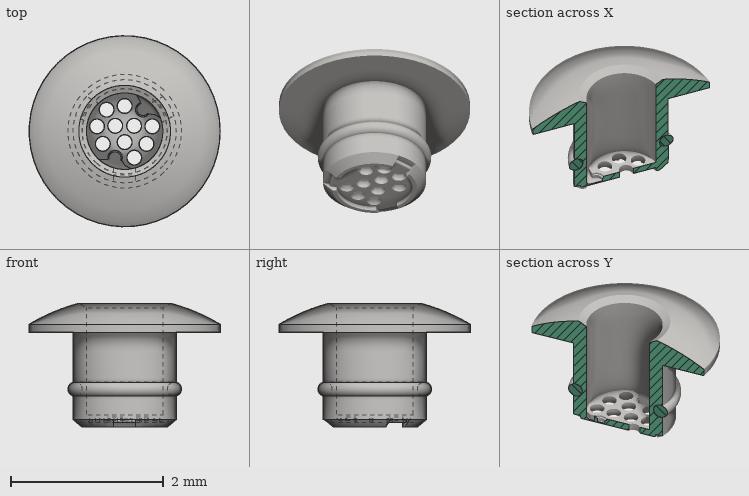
import cadquery as cq
import math

TOTAL_HEIGHT = 1.62
FLANGE_RADIUS = 1.25
FLANGE_BOTTOM = 1.24
FLANGE_RIM_THICKNESS = 0.105
DOME_BULGE = 0.025
SHAFT_RADIUS = 0.675
BORE_RADIUS = 0.5
MOUTH_RADIUS = 0.6
MOUTH_DEPTH = 0.06
TIP_RADIUS = 0.555
TIP_HEIGHT = 0.1

RING_SECTION_RADIUS = 0.092
RING_OUTER_RADIUS = 0.742
RING_HEIGHT = 0.498

PLATE_BOTTOM = 0.06
PLATE_THICKNESS = 0.1
HOLE_RADIUS = 0.095
INNER_HOLE_CIRCLE = 0.142
MIDDLE_HOLE_CIRCLE = 0.33
OUTER_HOLE_CIRCLE = 0.368
SECTOR_ANGLE = 120
FIRST_SLOT_ANGLE = 30
OUTER_HOLE_OFFSET = 20

SLOT_WIDTH = 0.29
SLOT_STEP_RADIUS = 0.575
SLOT_STEP_ROUND = 0.025

LEDGE_DEPTH = 0.025
POCKET_DEPTH = 0.075
POCKET_NOSE_RADIUS = 0.08
POCKET_NOSE_CIRCLE = 0.372
POCKET_ROUND = 0.052
POCKET_THROAT_CIRCLE = 0.385
NARROW_SIDE_ANGLES = (14, 22)
WIDE_SIDE_ANGLES = (14.5, 20.5, 30)

plate_top = PLATE_BOTTOM + PLATE_THICKNESS
rim_top = FLANGE_BOTTOM + FLANGE_RIM_THICKNESS
slot_angles = [FIRST_SLOT_ANGLE + SECTOR_ANGLE * sector for sector in range(3)]
pocket_positions = [(slot_angles[0], 1), (slot_angles[2], -1)]
pocket_floor_radius = BORE_RADIUS - POCKET_ROUND
pocket_floor = plate_top - POCKET_DEPTH


def polar(radius, degrees):
    """Point in the XY plane at a radius and an angle from +X."""
    angle = math.radians(degrees)
    return (radius * math.cos(angle), radius * math.sin(angle))


def make_shell():
    """Shaft, domed flange and bottom plate as one turned profile."""
    chord_r = FLANGE_RADIUS - MOUTH_RADIUS
    chord_z = TOTAL_HEIGHT - rim_top
    chord = math.hypot(chord_r, chord_z)
    dome_middle = (
        (FLANGE_RADIUS + MOUTH_RADIUS) / 2 + DOME_BULGE * chord_z / chord,
        (rim_top + TOTAL_HEIGHT) / 2 + DOME_BULGE * chord_r / chord,
    )
    return (
        cq.Workplane("XZ")
        .moveTo(0, PLATE_BOTTOM)
        .lineTo(BORE_RADIUS, PLATE_BOTTOM)
        .lineTo(BORE_RADIUS, 0)
        .lineTo(TIP_RADIUS, 0)
        .lineTo(SHAFT_RADIUS, TIP_HEIGHT)
        .lineTo(SHAFT_RADIUS, FLANGE_BOTTOM)
        .lineTo(FLANGE_RADIUS, FLANGE_BOTTOM)
        .lineTo(FLANGE_RADIUS, rim_top)
        .threePointArc(dome_middle, (MOUTH_RADIUS, TOTAL_HEIGHT))
        .lineTo(BORE_RADIUS, TOTAL_HEIGHT - MOUTH_DEPTH)
        .lineTo(BORE_RADIUS, plate_top)
        .lineTo(0, plate_top)
        .close()
        .revolve(360, (0, 0, 0), (0, 1, 0))
    )


def make_slot(angle):
    """Cutter for a tip slot that steps up beyond a rounded shoulder."""
    round_start = SLOT_STEP_RADIUS - SLOT_STEP_ROUND
    return (
        cq.Workplane("XZ", origin=(0, SLOT_WIDTH / 2, 0))
        .lineTo(SHAFT_RADIUS, 0)
        .lineTo(SHAFT_RADIUS, TIP_HEIGHT)
        .lineTo(SLOT_STEP_RADIUS, TIP_HEIGHT)
        .lineTo(SLOT_STEP_RADIUS, PLATE_BOTTOM + SLOT_STEP_ROUND)
        .radiusArc((round_start, PLATE_BOTTOM), SLOT_STEP_ROUND)
        .lineTo(0, PLATE_BOTTOM)
        .close()
        .extrude(SLOT_WIDTH)
        .rotate((0, 0, 0), (0, 0, 1), angle)
    )


def make_plate_holes():
    """Cutter for the through holes of the plate."""
    centers = []
    for angle in slot_angles:
        centers.append(polar(INNER_HOLE_CIRCLE, angle))
        centers.append(polar(MIDDLE_HOLE_CIRCLE, angle + SECTOR_ANGLE / 2))
        for side in (-1, 1):
            if (angle, side) not in pocket_positions:
                centers.append(polar(OUTER_HOLE_CIRCLE, angle + side * OUTER_HOLE_OFFSET))
    return cq.Workplane("XY").pushPoints(centers).circle(HOLE_RADIUS).extrude(plate_top)


def make_pocket(angle, side):
    """Cutter for a blind pocket: a shallow round ledge and a deep bay that widens to the bore wall."""
    ledge = (
        cq.Workplane("XY", origin=(0, 0, plate_top - LEDGE_DEPTH))
        .center(*polar(OUTER_HOLE_CIRCLE, angle))
        .circle(HOLE_RADIUS)
        .extrude(LEDGE_DEPTH)
    )
    narrow_floor, narrow_wall = NARROW_SIDE_ANGLES
    wide_throat, wide_floor, wide_wall = WIDE_SIDE_ANGLES
    middle = (narrow_wall - wide_wall) / 2
    bay_plane = cq.Workplane("XY", origin=(0, 0, pocket_floor))
    bay = (
        bay_plane.moveTo(*polar(POCKET_NOSE_CIRCLE, angle))
        .lineTo(*polar(pocket_floor_radius, angle + side * narrow_floor))
        .lineTo(*polar(BORE_RADIUS, angle + side * narrow_wall))
        .threePointArc(
            polar(BORE_RADIUS, angle + side * middle),
            polar(BORE_RADIUS, angle - side * wide_wall),
        )
        .lineTo(*polar(pocket_floor_radius, angle - side * wide_floor))
        .lineTo(*polar(POCKET_THROAT_CIRCLE, angle - side * wide_throat))
        .close()
        .extrude(POCKET_DEPTH)
    )
    nose = bay_plane.center(*polar(POCKET_NOSE_CIRCLE, angle)).circle(POCKET_NOSE_RADIUS).extrude(POCKET_DEPTH)
    bowl = bay_plane.circle(BORE_RADIUS).extrude(POCKET_DEPTH).faces("<Z").edges().fillet(POCKET_ROUND)
    return bay.union(nose).intersect(bowl).union(ledge)


def make_ring():
    """Round-section sealing ring around the shaft."""
    return cq.Workplane(
        cq.Solid.makeTorus(
            RING_OUTER_RADIUS - RING_SECTION_RADIUS,
            RING_SECTION_RADIUS,
            cq.Vector(0, 0, RING_HEIGHT),
            cq.Vector(0, 0, 1),
        )
    )


def make_housing():
    """Shell with the ring groove, tip slots, plate holes and pockets cut into it."""
    body = make_shell().cut(make_ring()).cut(make_plate_holes())
    for angle in slot_angles:
        body = body.cut(make_slot(angle))
    for angle, side in pocket_positions:
        body = body.cut(make_pocket(angle + side * OUTER_HOLE_OFFSET, side))
    return body


housing = make_housing()
ring = make_ring()
result = cq.Compound.makeCompound([housing.solids().val(), ring.val()])